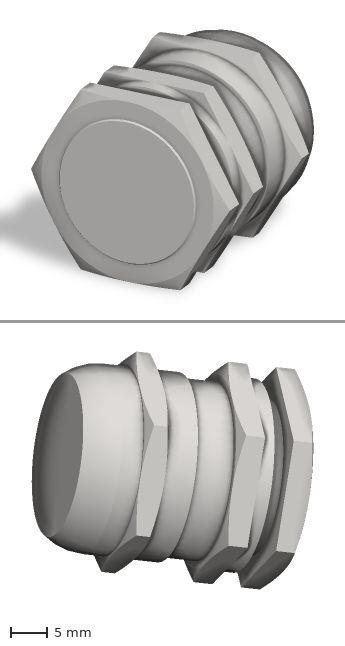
import cadquery as cq
import math

LENGTH = 33.0
HEX_CORNERS = 31.2
HEX_HEIGHT = 3.53
HEX_CHAMFER = 0.8

LOCKNUT_START = 0.25
WASHER_START = 5.9
BODY_HEX_START = 7.95
SLEEVE_START = 16.93
CAP_HEX_START = 21.32
DOME_START = 27.85

HEX_FLAT_RADIUS = HEX_CORNERS / 2 * math.cos(math.pi / 6)
ENTRY_RADIUS = 10.53
ENTRY_RIM_RADIUS = 10.72
NECK_RADIUS = 11.0
BODY_RADIUS = 12.47
CAP_RADIUS = 13.23
DOME_END_RADIUS = 11.42


def round_sections():
    """Revolve the stepped profile, drawn as (radius, station), about Y."""
    profile = (
        cq.Workplane("XY")
        .lineTo(ENTRY_RADIUS, 0)
        .lineTo(ENTRY_RIM_RADIUS, LOCKNUT_START)
        .lineTo(NECK_RADIUS, LOCKNUT_START)
        .lineTo(NECK_RADIUS, WASHER_START)
        .lineTo(HEX_FLAT_RADIUS, WASHER_START)
        .lineTo(HEX_FLAT_RADIUS, BODY_HEX_START)
        .lineTo(BODY_RADIUS, BODY_HEX_START)
        .lineTo(BODY_RADIUS, SLEEVE_START)
        .lineTo(CAP_RADIUS, SLEEVE_START)
        .lineTo(CAP_RADIUS, DOME_START)
        .tangentArcPoint((DOME_END_RADIUS, LENGTH), relative=False)
        .lineTo(0, LENGTH)
        .close()
    )
    return profile.revolve(360, (0, 0), (0, 1))


def hex_collar(start, chamfer_near, chamfer_far):
    """Hexagon with corners on +-X, its chosen ends turned to a shallow cone."""
    end = start + HEX_HEIGHT
    corner_radius = HEX_CORNERS / 2
    prism = (
        cq.Workplane("XZ", origin=(0, start, 0))
        .polygon(6, HEX_CORNERS)
        .extrude(-HEX_HEIGHT)
    )
    near_radius = HEX_FLAT_RADIUS if chamfer_near else corner_radius
    far_radius = HEX_FLAT_RADIUS if chamfer_far else corner_radius
    envelope = cq.Workplane("XY").moveTo(0, start).lineTo(near_radius, start)
    if chamfer_near:
        envelope = envelope.lineTo(corner_radius, start + HEX_CHAMFER)
    if chamfer_far:
        envelope = envelope.lineTo(corner_radius, end - HEX_CHAMFER)
    envelope = envelope.lineTo(far_radius, end).lineTo(0, end).close()
    return prism.intersect(envelope.revolve(360, (0, 0), (0, 1)))


locknut = hex_collar(LOCKNUT_START, True, False)
body_hex = hex_collar(BODY_HEX_START, False, True)
cap_hex = hex_collar(CAP_HEX_START, True, True)

gland = round_sections().union(locknut).union(body_hex).union(cap_hex)

result = gland.translate((0, -LENGTH / 2, 0))